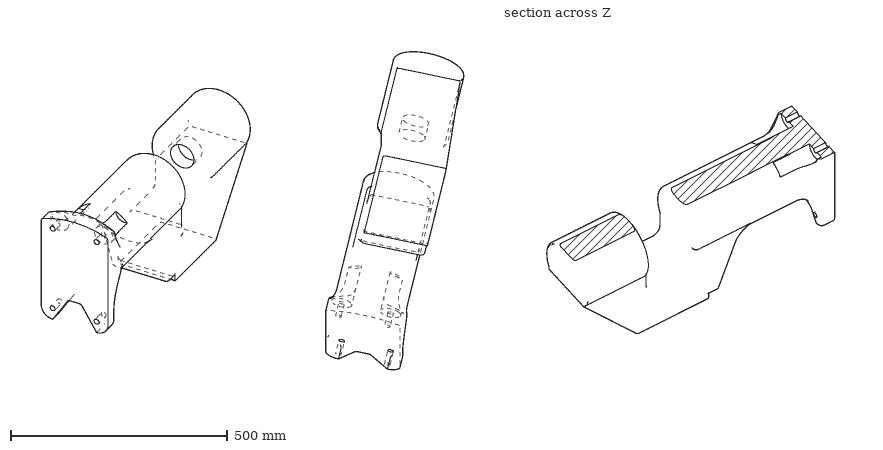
import cadquery as cq
import math


overall_length = 690.0
overall_height = 336.4

barrel_radius = 84.0
gap_front_y = 382.6
gap_rear_y = 513.2
rear_rim_radius = 4.5
bore_diameter = 62.0
bore_depth = 38.0

flange_width = 177.0
flange_thickness = 34.0
flange_top_z = 113.0
flange_top_radius = 236.0
flange_top_corner_radius = 9.0
flange_back_edge_radius = 8.0
bolt_x = 58.0
bolt_top_z = 77.5
bolt_bottom_z = -143.0
bolt_hole_diameter = 13.0
flange_foot_radius = flange_width / 2 - bolt_x
flange_foot_z = bolt_bottom_z - flange_foot_radius
notch_top_z = -108.0
notch_top_half_width = 17.0
notch_corner_radius = 9.0
flare_radius = 60.0
flare_start_y = flange_thickness + flare_radius
groove_radius = 24.0
groove_start_y = flange_thickness
groove_end_y = 135.0

saddle_width = 150.0
saddle_bottom_z = flange_top_z - overall_height
saddle_floor_z = -105.5
saddle_step_y = 343.0
saddle_heel_y = 544.0
saddle_rear_z = -43.0
saddle_edge_radius = 10.0
saddle_corner_radius = 28.0
saddle_step_chamfer_height = 4.7
saddle_step_chamfer_depth = 1.5

nose_bottom_z = -212.0
nose_toe_y = 313.0
nose_lean = math.radians(20.5)
nose_edge_radius = 9.0
nose_shoulder_z = -82.0
nose_shoulder_radius = 60.0
nose_shoulder_turn = math.radians(40.0)
nose_root_radius = 30.0

tolerance = 0.001


def cylinder_along_y(radius, start_y, end_y, x=0.0, z=0.0):
    direction = cq.Vector(0, 1, 0)
    return cq.Workplane(cq.Solid.makeCylinder(radius, end_y - start_y, cq.Vector(x, start_y, z), direction))


def box_between(x_range, y_range, z_range):
    size = [end - start for start, end in (x_range, y_range, z_range)]
    corner = cq.Vector(x_range[0], y_range[0], z_range[0])
    return cq.Workplane(cq.Solid.makeBox(*size, corner))


def make_flange():
    """Flange plate and flare, trimmed to the flange outline and rounded along the back rim."""
    half_width = flange_width / 2
    arc_drop = flange_top_radius - math.sqrt(flange_top_radius**2 - half_width**2)
    shoulder_z = flange_top_z - arc_drop
    flare_outer_radius = barrel_radius + flare_radius
    plate_radius = flange_width + flange_top_z

    outline = (
        cq.Workplane("XZ")
        .moveTo(-half_width, bolt_bottom_z)
        .lineTo(-half_width, shoulder_z)
        .threePointArc((0, flange_top_z), (half_width, shoulder_z))
        .lineTo(half_width, bolt_bottom_z)
        .radiusArc((bolt_x, flange_foot_z), flange_foot_radius)
        .lineTo(notch_top_half_width, notch_top_z)
        .lineTo(-notch_top_half_width, notch_top_z)
        .lineTo(-bolt_x, flange_foot_z)
        .radiusArc((-half_width, bolt_bottom_z), flange_foot_radius)
        .close()
        .extrude(-flare_start_y)
    )
    shoulders = cq.selectors.BoxSelector(
        (-flange_width, -1, shoulder_z - 1),
        (flange_width, flare_start_y + 1, shoulder_z + 1),
    )
    outline = outline.edges("|Y").edges(shoulders).fillet(flange_top_corner_radius)
    notch_corners = cq.selectors.BoxSelector(
        (-bolt_x / 2, -1, notch_top_z - 1),
        (bolt_x / 2, flare_start_y + 1, notch_top_z + 1),
    )
    outline = outline.edges("|Y").edges(notch_corners).fillet(notch_corner_radius)

    arc_middle = math.sqrt(0.5) * flare_radius
    flared_disc = (
        cq.Workplane("XY")
        .moveTo(0, 0)
        .lineTo(plate_radius, 0)
        .lineTo(plate_radius, flange_thickness)
        .lineTo(flare_outer_radius, flange_thickness)
        .threePointArc(
            (flare_outer_radius - arc_middle, flare_start_y - arc_middle),
            (barrel_radius, flare_start_y),
        )
        .lineTo(0, flare_start_y)
        .close()
        .revolve(360, (0, 0, 0), (0, 1, 0))
    )
    flange = flared_disc.intersect(outline)
    return flange.newObject(back_rim_edges(flange)).fillet(flange_back_edge_radius)


def back_rim_edges(flange):
    """Edges where the outer walls of the flange meet the flare and the back of the plate."""
    walls = [
        face
        for face in flange.faces().vals()
        if face.BoundingBox().ymin < tolerance < face.BoundingBox().ymax - tolerance
    ]
    return [
        edge
        for wall in walls
        for edge in wall.Edges()
        if edge.BoundingBox().ymin > flange_thickness - tolerance
    ]


def make_nose():
    """Block under the front barrel: leaning front wall, curved shoulder and rounded edges."""
    half_width = saddle_width / 2
    shoulder_y = nose_toe_y - (nose_shoulder_z - nose_bottom_z) * math.tan(nose_lean)
    center_y = shoulder_y - nose_shoulder_radius * math.cos(nose_lean)
    center_z = nose_shoulder_z - nose_shoulder_radius * math.sin(nose_lean)

    def shoulder_point(turn):
        angle = nose_lean + turn
        y = center_y + nose_shoulder_radius * math.cos(angle)
        z = center_z + nose_shoulder_radius * math.sin(angle)
        return (y, z)

    end_y, end_z = shoulder_point(nose_shoulder_turn)
    end_angle = nose_lean + nose_shoulder_turn
    buried_length = half_width / 2
    buried_y = end_y - buried_length * math.sin(end_angle)
    buried_z = end_z + buried_length * math.cos(end_angle)
    rear_y = saddle_step_y

    nose = (
        cq.Workplane("YZ")
        .moveTo(nose_toe_y, nose_bottom_z)
        .lineTo(shoulder_y, nose_shoulder_z)
        .threePointArc(shoulder_point(nose_shoulder_turn / 2), (end_y, end_z))
        .lineTo(buried_y, buried_z)
        .lineTo(rear_y, buried_z)
        .lineTo(rear_y, nose_bottom_z)
        .close()
        .extrude(half_width, both=True)
    )
    outer_faces = nose.faces("<Z or <X or >X")
    return outer_faces.edges("not >Y").edges("not >Z").fillet(nose_edge_radius)


def lies_on_barrel(edge):
    points = [edge.positionAt(fraction) for fraction in (0.0, 0.5, 1.0)]
    return all(abs(math.hypot(point.x, point.z) - barrel_radius) < tolerance for point in points)


def make_barrel_with_nose():
    """Full-length barrel with the nose block blended into its underside."""
    barrel = cylinder_along_y(barrel_radius, flare_start_y, overall_length)
    barrel = barrel.edges(">Y").fillet(rear_rim_radius)
    body = barrel.union(make_nose())
    seam = []
    for edge in body.edges().vals():
        bounds = edge.BoundingBox()
        if lies_on_barrel(edge) and bounds.ymin > flare_start_y + tolerance and bounds.ymax < nose_toe_y:
            seam.append(edge)
    blended = body.newObject(seam).fillet(nose_root_radius)

    half_width = saddle_width / 2
    nose_space = box_between((-half_width, half_width), (flare_start_y, saddle_step_y), (nose_bottom_z, 0))
    body = barrel.union(blended.intersect(nose_space))

    side_meeting_z = -math.sqrt(barrel_radius**2 - half_width**2)
    underside = box_between(
        (-barrel_radius, barrel_radius),
        (gap_front_y, overall_length),
        (-barrel_radius, side_meeting_z),
    )
    return body.cut(underside)


def make_saddle():
    """Block that carries the rear barrel, with a sloping heel."""
    saddle = (
        cq.Workplane("YZ")
        .moveTo(saddle_step_y, 0)
        .lineTo(overall_length, 0)
        .lineTo(overall_length, saddle_rear_z)
        .lineTo(saddle_heel_y, saddle_bottom_z)
        .lineTo(saddle_step_y, saddle_bottom_z)
        .close()
        .extrude(saddle_width / 2, both=True)
    )
    rear_faces = saddle.faces(">Y or (not(|X or |Y or |Z))")
    saddle = rear_faces.edges("not |X").fillet(rear_rim_radius)
    step_edge = saddle.faces("<Y").edges("<Z")
    return step_edge.chamfer(saddle_step_chamfer_height, saddle_step_chamfer_depth)


def cut_gap(body):
    """Open the gap between the two barrels and round its rim."""
    gap = box_between(
        (-flange_width, flange_width), (gap_front_y, gap_rear_y), (saddle_floor_z, flange_top_z)
    )
    body = body.cut(gap)
    rim = []
    for edge in body.edges().vals():
        center = edge.Center()
        bounds = edge.BoundingBox()
        spans_x = abs(center.x) < tolerance and bounds.zmax < saddle_floor_z + tolerance
        in_gap = bounds.ymin > gap_front_y - tolerance and bounds.ymax < gap_rear_y + tolerance
        above_floor = bounds.zmin > saddle_floor_z - tolerance
        if in_gap and above_floor and not spans_x:
            rim.append(edge)
    return body.newObject(rim).fillet(saddle_edge_radius)


def round_gap_corners(body):
    """Blend the gap floor into the two barrel end walls."""
    floor_corners = cq.selectors.BoxSelector(
        (-1, gap_front_y - 1, saddle_floor_z - 1),
        (1, gap_rear_y + 1, saddle_floor_z + 1),
    )
    return body.edges("|X").edges(floor_corners).fillet(saddle_corner_radius)


def cut_flange_bolts(body):
    """Bolt holes through the flange, with clearance grooves along the barrel for the upper pair."""
    for x in (-bolt_x, bolt_x):
        for z in (bolt_top_z, bolt_bottom_z):
            body = body.cut(cylinder_along_y(bolt_hole_diameter / 2, 0, flare_start_y, x, z))
        body = body.cut(cylinder_along_y(groove_radius, groove_start_y, groove_end_y, x, bolt_top_z))
    return body


body = make_barrel_with_nose().union(make_saddle())
body = cut_gap(body)
body = round_gap_corners(body)
body = body.cut(cylinder_along_y(bore_diameter / 2, gap_rear_y, gap_rear_y + bore_depth))
body = body.union(make_flange())
result = cut_flange_bolts(body)